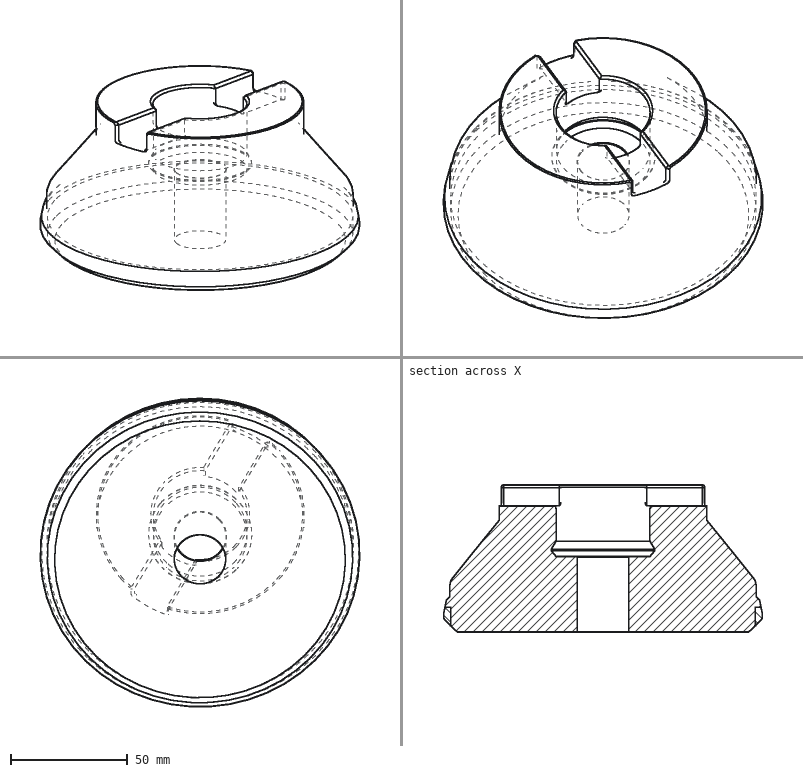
import cadquery as cq
import math

height = 63.0
outer_radius = 68.4

neck_radius = 89.0 / 2
neck_edge_width = 0.7
neck_edge_drop = 0.4
neck_base_z = 48.0
neck_base_fillet = 1.9
collar_radius = 131.4 / 2
collar_top_z = 21.7
collar_top_fillet = 4.5
lip_base_z = 15.3
lip_rise = 1.5
lip_base_fillet = 0.7
lip_tip_fillet = 1.0
rim_top_z = 8.0
rim_top_fillet = 1.9
rim_bottom_z = 5.7
rim_bottom_fillet = 2.2
bottom_radius = 62.2
bottom_edge_z = 0.7
bottom_edge_radius = outer_radius - (rim_bottom_z - bottom_edge_z)

ring_inner_radius = 65.4
ring_top_z = 10.7
ring_clear_radius = 75.2

relief_radius = 40.2 / 2
relief_bottom_z = 53.7
bore_radius = 40.0 / 2
bore_top_z = 52.8
bore_edge = 1.1
undercut_depth = 2.0
undercut_radius = bore_radius + undercut_depth
undercut_land = 0.5
upper_flank_angle = math.radians(60)
lower_flank_angle = math.radians(50)
undercut_top_z = 39.0
undercut_land_top_z = undercut_top_z - undercut_depth * math.tan(upper_flank_angle)
undercut_land_bottom_z = undercut_land_top_z - undercut_land
bore_floor_z = undercut_land_bottom_z - undercut_depth * math.tan(lower_flank_angle)
hole_radius = 22.0 / 2
hole_edge = 0.3

slot_half_width = 8.0
slot_floor_z = height - 9.0
slot_fillet = 1.4
slot_edge = 1.2
slot_mouth_y = 42.4
slot_bore_y = 18.7
mouth_flare = 2.7
bore_flare = 1.4


def corner_points(previous, corner, following, radius):
    """Start, middle and end of the fillet arc at a corner of a polygon."""
    to_previous = (cq.Vector(*previous) - cq.Vector(*corner)).normalized()
    to_following = (cq.Vector(*following) - cq.Vector(*corner)).normalized()
    half_angle = to_previous.getAngle(to_following) / 2
    setback = radius / math.tan(half_angle)
    middle_distance = radius / math.sin(half_angle) - radius
    bisector = (to_previous + to_following).normalized()
    apex = cq.Vector(*corner)
    places = (apex + to_previous * setback, apex + bisector * middle_distance, apex + to_following * setback)
    return [place.toTuple()[:2] for place in places]


def make_outside():
    """Solid of revolution with the complete outside shape of the cutter."""
    corners = [
        (0, 0, 0),
        (bottom_radius, 0, 0),
        (bottom_edge_radius, bottom_edge_z, 0),
        (outer_radius, rim_bottom_z, rim_bottom_fillet),
        (outer_radius, rim_top_z, rim_top_fillet),
        (collar_radius + lip_rise, lip_base_z - lip_rise, lip_tip_fillet),
        (collar_radius, lip_base_z, lip_base_fillet),
        (collar_radius, collar_top_z, collar_top_fillet),
        (neck_radius, neck_base_z, neck_base_fillet),
        (neck_radius, height - neck_edge_drop, 0),
        (neck_radius - neck_edge_width, height, 0),
        (0, height, 0),
    ]
    profile = cq.Workplane("XZ").moveTo(0, 0)
    for index in range(1, len(corners)):
        r, z, fillet = corners[index]
        if fillet == 0:
            profile = profile.lineTo(r, z)
            continue
        before = corners[index - 1][:2]
        after = corners[index + 1][:2]
        start, middle, end = corner_points(before, (r, z), after, fillet)
        profile = profile.lineTo(*start).threePointArc(middle, end)
    return profile.close().revolve(360, (0, 0, 0), (0, 1, 0))


def make_bore():
    """Cutter for the stepped bore, its undercut and the through hole."""
    outline = [
        (0, 0),
        (hole_radius, 0),
        (hole_radius, bore_floor_z - hole_edge),
        (hole_radius + hole_edge, bore_floor_z),
        (bore_radius, bore_floor_z),
        (undercut_radius, undercut_land_bottom_z),
        (undercut_radius, undercut_land_top_z),
        (bore_radius, undercut_top_z),
        (bore_radius, bore_top_z),
        (relief_radius, relief_bottom_z),
        (relief_radius, height - bore_edge),
        (relief_radius + bore_edge, height),
        (0, height),
    ]
    return cq.Workplane("XZ").polyline(outline).close().revolve(360, (0, 0, 0), (0, 1, 0))


def slot_section(y, widening):
    """Closed outline of the slot in the plane at y, each wall moved out by widening."""
    wall = slot_half_width + widening
    floor = wall - slot_fillet
    edge = wall + slot_edge
    arc_offset = slot_fillet * (1 - math.sqrt(0.5))
    return (
        cq.Workplane("XZ", origin=(0, y, 0))
        .moveTo(-floor, slot_floor_z)
        .lineTo(floor, slot_floor_z)
        .threePointArc((wall - arc_offset, slot_floor_z + arc_offset), (wall, slot_floor_z + slot_fillet))
        .lineTo(wall, height - slot_edge)
        .lineTo(edge, height)
        .lineTo(-edge, height)
        .lineTo(-wall, height - slot_edge)
        .lineTo(-wall, slot_floor_z + slot_fillet)
        .threePointArc((arc_offset - wall, slot_floor_z + arc_offset), (-floor, slot_floor_z))
        .close()
    )


def make_slot_flare(start_y, end_y):
    """Cutter that widens the slot at 45 degrees between two places along Y."""
    narrow = slot_section(start_y, 0).wires().val()
    wide = slot_section(end_y, abs(end_y - start_y)).wires().val()
    return cq.Workplane(cq.Solid.makeLoft([narrow, wide], True))


def make_body(outside, ring):
    """Cutter body with the ring seat, the bore and the flared drive slot cut out."""
    body = outside.cut(ring).cut(make_bore())
    body = body.cut(slot_section(0, 0).extrude(outer_radius, both=True))
    for side in (-1, 1):
        body = body.cut(make_slot_flare(side * slot_mouth_y, side * (slot_mouth_y + mouth_flare)))
        body = body.cut(make_slot_flare(side * slot_bore_y, side * (slot_bore_y - bore_flare)))
    return body


def make_ring(outside):
    """Ring whose outside is flush with the body above and below it."""
    sleeve = cq.Workplane("XY").circle(ring_clear_radius).circle(ring_inner_radius).extrude(ring_top_z)
    lower_flank_z = rim_bottom_z - (outer_radius - ring_inner_radius)
    above_flank = cq.Workplane("XY").workplane(offset=lower_flank_z).circle(ring_clear_radius).extrude(height)
    return outside.intersect(sleeve.intersect(above_flank))


outside = make_outside()
ring = make_ring(outside)
body = make_body(outside, ring)

result = cq.Compound.makeCompound([body.solids().val(), ring.solids().val()])